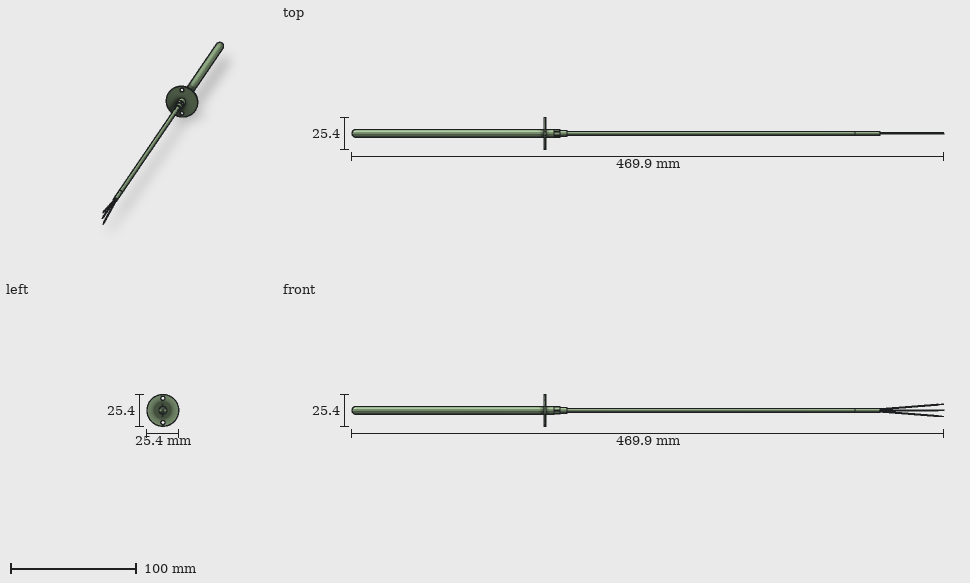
import cadquery as cq
import math

INCH = 25.4

sheath_diameter = INCH / 4
sheath_radius = sheath_diameter / 2
sheath_length = 6.5 * INCH
crimp_length = 3 / 16 * INCH
crimp_start = sheath_length - crimp_length
crimp_flat_count = 6
crimp_across_flats = 0.23 * INCH
crimp_turn = 180 / crimp_flat_count

flange_diameter = INCH
flange_thickness = INCH / 16
flange_start = 6 * INCH
screw_hole_diameter = INCH / 8
screw_hole_offset = 0.38 * INCH

collar_diameter = 3 / 16 * INCH
collar_length = 7 / 32 * INCH
cable_diameter = INCH / 8
cable_start = sheath_length + collar_length
cable_length = 9 * INCH

sleeve_start = cable_start + cable_length
sleeve_end = 16.5 * INCH

wire_length = 2 * INCH
wire_diameter = INCH / 32
bare_length = 4.5
bare_diameter = 0.25
fan_angle = 4.5
outer_wire_y = 0.4
outer_wire_z = 0.9
middle_wire_y = -0.2


def rod(diameter, start, length):
    """Round rod centred on the X axis, running toward +X from start."""
    return cq.Workplane("YZ", origin=(start, 0, 0)).circle(diameter / 2).extrude(length)


def make_crimp_waste():
    """Ring that leaves flats around the crimped end of the sheath."""
    hexagon = (
        cq.Workplane("YZ", origin=(crimp_start, 0, 0))
        .polygon(crimp_flat_count, crimp_across_flats, circumscribed=True)
        .extrude(crimp_length)
        .rotate((0, 0, 0), (1, 0, 0), crimp_turn)
    )
    return rod(2 * sheath_diameter, crimp_start, crimp_length).cut(hexagon)


def make_sheath():
    arc_height = sheath_radius * math.sin(math.radians(45))
    body = (
        cq.Workplane("XZ")
        .moveTo(0, 0)
        .threePointArc((sheath_radius - arc_height, arc_height), (sheath_radius, sheath_radius))
        .lineTo(sheath_length, sheath_radius)
        .lineTo(sheath_length, 0)
        .close()
        .revolve(360, (0, 0, 0), (1, 0, 0))
    )
    return body.cut(make_crimp_waste())


def make_flange():
    body = rod(flange_diameter, flange_start, flange_thickness)
    body = body.cut(rod(sheath_diameter, flange_start, flange_thickness))
    screw_hole = rod(screw_hole_diameter, flange_start, flange_thickness)
    for side in (1, -1):
        body = body.cut(screw_hole.translate((0, 0, side * screw_hole_offset)))
    return body


def make_cable():
    collar = rod(collar_diameter, sheath_length, collar_length)
    return collar.union(rod(cable_diameter, cable_start, cable_length))


def make_sleeve():
    return rod(cable_diameter, sleeve_start, sleeve_end - sleeve_start)


def make_wire(side):
    """One lead: side is 1 for the upper, 0 for the middle and -1 for the lower wire."""
    insulated_length = wire_length - bare_length
    angle = side * fan_angle
    insulated = rod(wire_diameter, 0, insulated_length)
    wire = insulated.union(rod(bare_diameter, insulated_length, bare_length))
    wire = wire.rotate((0, 0, 0), (0, 1, 0), -angle)
    tilt_gap = wire_diameter / 2 * math.sin(math.radians(abs(angle)))
    y = middle_wire_y if side == 0 else outer_wire_y
    return wire.translate((sleeve_end + tilt_gap, y, side * outer_wire_z))


sheath = make_sheath()
flange = make_flange()
cable = make_cable()
sleeve = make_sleeve()
wires = [make_wire(side) for side in (1, 0, -1)]

result = cq.Compound.makeCompound(
    [sheath.val(), flange.val(), cable.val(), sleeve.val(), *[wire.val() for wire in wires]]
)